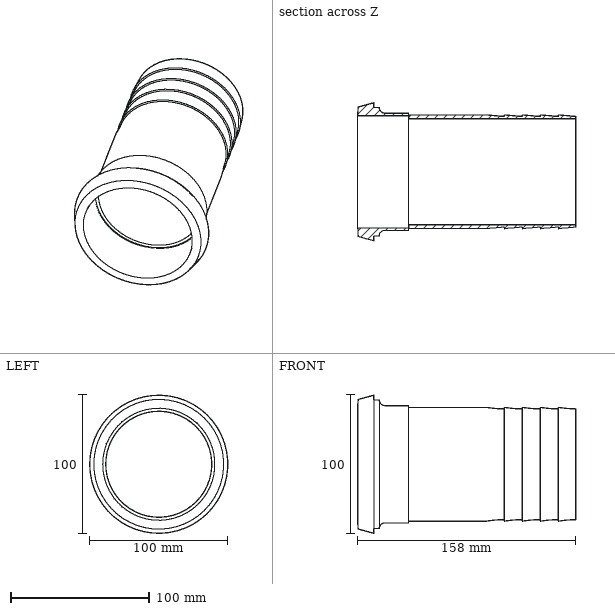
import cadquery as cq

total_length = 158.0
face_depth = 0.5
flange_end = 11.8
shoulder_end = 15.8
collar_end = 37.0
barb_count = 5
barb_length = 12.6
barb_rise_length = 0.4
barb_pitch = barb_length + barb_rise_length
barbs_start = total_length - (barb_count - 1) * barb_pitch - barb_length
counterbore_depth = collar_end

flange_radius = 100.0 / 2
flange_front_radius = 93.9 / 2
shoulder_radius = 93.0 / 2
collar_radius = 85.0 / 2
tube_radius = 82.5 / 2
barb_tail_radius = 80.3 / 2
counterbore_radius = 81.0 / 2
bore_radius = 76.5 / 2

fillet_radius = shoulder_radius - collar_radius
fillet_end = shoulder_end + fillet_radius
fillet_diagonal = fillet_radius * (1 - 0.5 ** 0.5)
fillet_middle = (shoulder_end + fillet_diagonal, collar_radius + fillet_diagonal)


def head_outline():
    """Start the half profile: flange, shoulder, collar and plain tube."""
    return (
        cq.Workplane("XY")
        .moveTo(0, counterbore_radius)
        .lineTo(face_depth, flange_front_radius)
        .lineTo(flange_end, flange_radius)
        .lineTo(flange_end, shoulder_radius)
        .lineTo(shoulder_end, shoulder_radius)
        .threePointArc(fillet_middle, (fillet_end, collar_radius))
        .lineTo(collar_end, collar_radius)
        .lineTo(collar_end, tube_radius)
        .lineTo(barbs_start, tube_radius)
    )


def add_barbs(profile):
    """Add the hose barbs, each tapering down towards +X."""
    for index in range(barb_count):
        barb_start = barbs_start + index * barb_pitch
        if index > 0:
            profile = profile.lineTo(barb_start, tube_radius)
        profile = profile.lineTo(barb_start + barb_length, barb_tail_radius)
    return profile


def close_along_bore(profile):
    """Return along the stepped bore to the seating face."""
    return (
        profile
        .lineTo(total_length, bore_radius)
        .lineTo(counterbore_depth, bore_radius)
        .lineTo(counterbore_depth, counterbore_radius)
        .close()
    )


half_profile = close_along_bore(add_barbs(head_outline()))
result = half_profile.revolve(360, (0, 0, 0), (1, 0, 0))